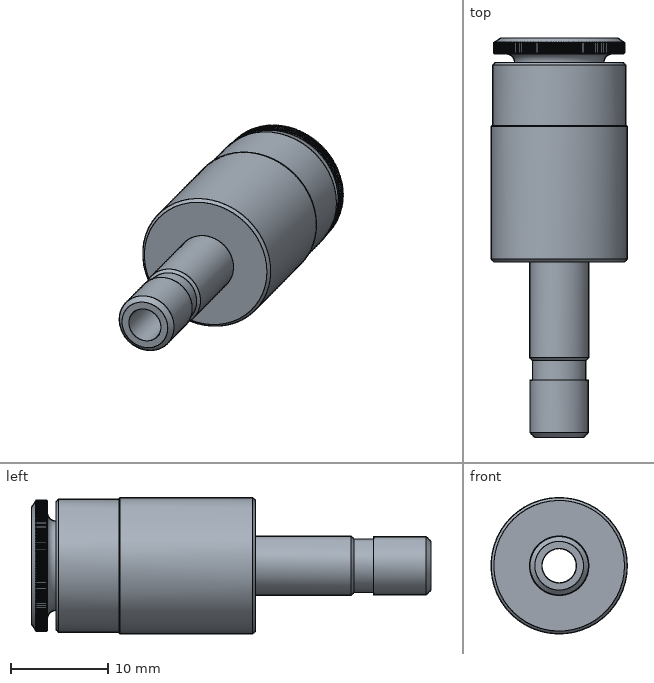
import cadquery as cq
import math

total_length = 41.0

bore_diameter = 3.5
plug_diameter = 6.0
stem_diameter = 6.1
groove_diameter = 5.5
plug_chamfer = 0.5
groove_start = 5.9
groove_end = 7.9

body_diameter = 14.0
sleeve_diameter = 13.7
body_start = 18.0
body_length = 14.0
sleeve_length = 6.5
body_chamfer = 0.3
shoulder_chamfer = 0.1

collar_diameter = 13.5
collar_rim_thickness = 1.15
collar_back_chamfer = 0.15
collar_chamfer_length = 0.5
collar_chamfer_depth = 0.75
neck_diameter = 9.2

tooth_count = 240
tooth_depth = 0.1

sleeve_start = body_start + body_length
sleeve_end = sleeve_start + sleeve_length
collar_rim_end = total_length - collar_chamfer_length
collar_start = collar_rim_end - collar_rim_thickness
neck_flare = collar_start - sleeve_end


def make_turned_blank():
    """Revolve the outer outline, given as (radius, Y) points, about the Y axis."""
    plug_radius = plug_diameter / 2
    stem_radius = stem_diameter / 2
    groove_radius = groove_diameter / 2
    body_radius = body_diameter / 2
    sleeve_radius = sleeve_diameter / 2
    collar_radius = collar_diameter / 2
    neck_radius = neck_diameter / 2
    flare_middle = neck_flare * (1 - math.sqrt(0.5))
    outline = (
        cq.Workplane("XY")
        .lineTo(plug_radius - plug_chamfer, 0)
        .lineTo(plug_radius, plug_chamfer)
        .lineTo(plug_radius, groove_start)
        .lineTo(groove_radius, groove_start)
        .lineTo(groove_radius, groove_end)
        .lineTo(stem_radius, groove_end + stem_radius - groove_radius)
        .lineTo(stem_radius, body_start)
        .lineTo(body_radius - body_chamfer, body_start)
        .lineTo(body_radius, body_start + body_chamfer)
        .lineTo(body_radius, sleeve_start - shoulder_chamfer)
        .lineTo(body_radius - shoulder_chamfer, sleeve_start)
        .lineTo(sleeve_radius, sleeve_start)
        .lineTo(sleeve_radius, sleeve_end - body_chamfer)
        .lineTo(sleeve_radius - body_chamfer, sleeve_end)
        .lineTo(neck_radius, sleeve_end)
        .threePointArc(
            (neck_radius + flare_middle, collar_start - flare_middle),
            (neck_radius + neck_flare, collar_start),
        )
        .lineTo(collar_radius - collar_back_chamfer, collar_start)
        .lineTo(collar_radius, collar_start + collar_back_chamfer)
        .lineTo(collar_radius, collar_rim_end)
        .lineTo(collar_radius - collar_chamfer_depth, total_length)
        .lineTo(0, total_length)
        .close()
    )
    return outline.revolve(360, (0, 0, 0), (0, 1, 0))


def plane_across_axis(y):
    """Plane normal to the axis at the given Y, facing +Y."""
    return cq.Workplane(cq.Plane(origin=(0, y, 0), xDir=(1, 0, 0), normal=(0, 1, 0)))


def make_knurl_cutter():
    """Ring around the collar whose inner wall is a saw-tooth outline."""
    tip_radius = collar_diameter / 2
    root_radius = tip_radius - tooth_depth
    half_pitch = math.pi / tooth_count
    points = []
    for index in range(2 * tooth_count):
        radius = root_radius if index % 2 else tip_radius
        angle = index * half_pitch
        points.append((radius * math.cos(angle), radius * math.sin(angle)))
    height = total_length - collar_start
    toothed_core = plane_across_axis(collar_start).polyline(points).close().extrude(height)
    ring = plane_across_axis(collar_start).circle(collar_diameter).extrude(height)
    return ring.cut(toothed_core)


def make_bore():
    """Straight bore through the whole length."""
    return plane_across_axis(0).circle(bore_diameter / 2).extrude(total_length)


result = make_turned_blank().cut(make_knurl_cutter()).cut(make_bore())